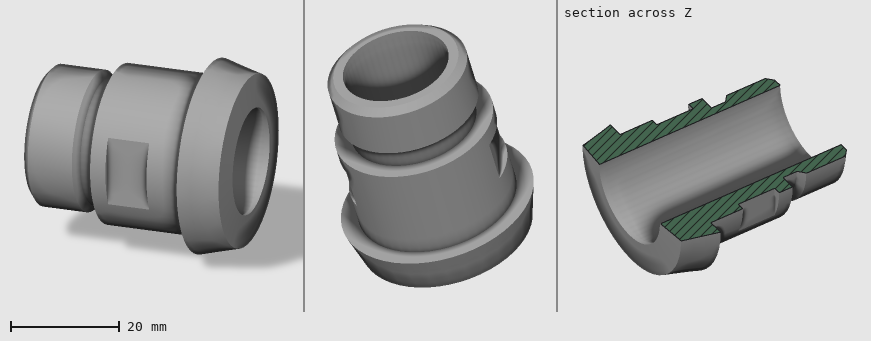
import cadquery as cq

total_length = 40
spigot_length = 14
collar_start = 32.1
collar_end = 39.5
spigot_chamfer = 1.2
groove_start = 10.95
groove_taper = 1.15

bore_diameter = 20
spigot_diameter = 26.45
groove_diameter = 23.7
body_diameter = 30
collar_diameter = 36.5
collar_end_diameter = 32.5

flat_start = 17.0
flat_length = 8
across_flats = 27.0


def turned_body():
    """Revolve the stepped outline about X; the large end tapers conically down to the bore."""
    groove_radius = groove_diameter / 2
    spigot_radius = spigot_diameter / 2
    outline = (
        cq.Workplane("XY")
        .moveTo(0, bore_diameter / 2)
        .lineTo(0, groove_radius)
        .lineTo(spigot_chamfer, spigot_radius)
        .lineTo(groove_start - groove_taper, spigot_radius)
        .lineTo(groove_start, groove_radius)
        .lineTo(spigot_length, groove_radius)
        .lineTo(spigot_length, body_diameter / 2)
        .lineTo(collar_start, body_diameter / 2)
        .lineTo(collar_start, collar_diameter / 2)
        .lineTo(collar_end, collar_end_diameter / 2)
        .lineTo(total_length, bore_diameter / 2)
        .close()
    )
    return outline.revolve(360, (0, 0, 0), (1, 0, 0))


def flat_cutter(side):
    """Block that removes the body beyond one wrench flat; side is +1 or -1 in Y."""
    depth = (body_diameter - across_flats) / 2
    return cq.Workplane("XY").box(flat_length, depth, body_diameter).translate(
        (flat_start + flat_length / 2, side * (across_flats + depth) / 2, 0)
    )


result = turned_body()
for side in (-1, 1):
    result = result.cut(flat_cutter(side))